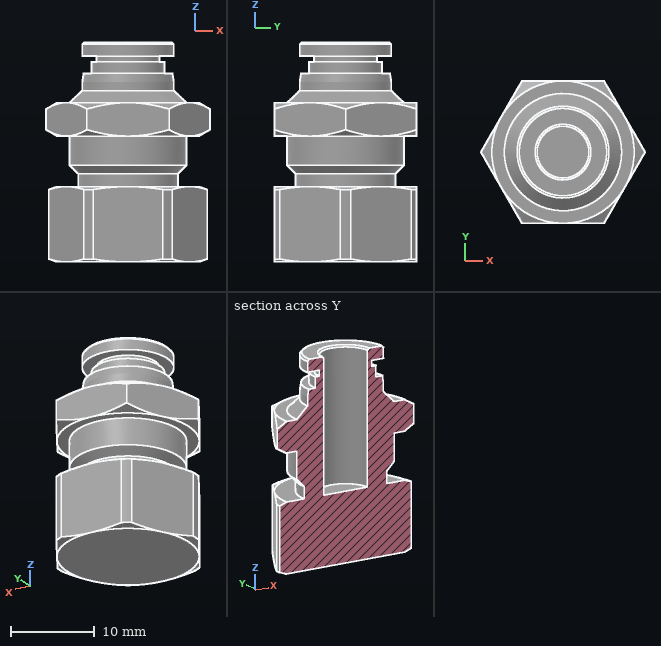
import cadquery as cq
import math


base_top_z = 9.0
neck_top_z = 10.53
nut_bottom_z = 15.05
nut_top_z = 19.03
shoulder_bottom_z = 20.48
taper_bottom_z = 21.52
taper_top_z = 22.52
sleeve_top_z = 23.91
cap_bottom_z = 24.6
total_height = 26.25

hex_sides = 6
across_flats = 17.0
base_corner_radius = 9.48
base_chamfer_angle = 20.0
nut_chamfer_angle = 30.0

neck_radius = 5.98
body_radius = 7.0
collar_radius = 5.49
collar_top_radius = 5.33
sleeve_radius = 4.38
stem_radius = 3.78
cap_radius = collar_radius
cap_chamfer = 0.25
bore_radius = 3.1
bore_chamfer = 0.24

inscribed_radius = across_flats / 2
hex_corner_radius = inscribed_radius / math.cos(math.pi / hex_sides)


def revolve_profile(points):
    """Revolve a closed (radius, height) outline about the Z axis."""
    return cq.Workplane("XZ").polyline(points).close().revolve(360, (0, 0, 0), (0, 1, 0))


def chamfered_hexagon(bottom_z, top_z, corner_radius, chamfer_angle):
    """Hexagonal prism with its corners turned to a radius and coned at both ends."""
    drop = (corner_radius - inscribed_radius) * math.tan(math.radians(chamfer_angle))
    prism = (
        cq.Workplane("XY", origin=(0, 0, bottom_z))
        .polygon(hex_sides, 2 * hex_corner_radius)
        .extrude(top_z - bottom_z)
    )
    turned_envelope = revolve_profile([
        (0, bottom_z),
        (inscribed_radius, bottom_z),
        (corner_radius, bottom_z + drop),
        (corner_radius, top_z - drop),
        (inscribed_radius, top_z),
        (0, top_z),
    ])
    return prism.intersect(turned_envelope)


def turned_body():
    """Round body from the base up to the release cap."""
    neck_cone_height = body_radius - neck_radius
    return revolve_profile([
        (0, 0),
        (neck_radius, 0),
        (neck_radius, neck_top_z),
        (body_radius, neck_top_z + neck_cone_height),
        (body_radius, nut_top_z),
        (collar_radius, shoulder_bottom_z),
        (collar_radius, taper_bottom_z),
        (collar_top_radius, taper_top_z),
        (sleeve_radius, taper_top_z),
        (sleeve_radius, sleeve_top_z),
        (stem_radius, sleeve_top_z),
        (stem_radius, cap_bottom_z),
        (cap_radius, cap_bottom_z),
        (cap_radius, total_height - cap_chamfer),
        (cap_radius - cap_chamfer, total_height),
        (0, total_height),
    ])


def tube_bore():
    """Blind tube bore with a chamfered mouth, ending level with the top of the base."""
    return revolve_profile([
        (0, base_top_z),
        (bore_radius, base_top_z),
        (bore_radius, total_height - bore_chamfer),
        (bore_radius + bore_chamfer, total_height),
        (0, total_height),
    ])


base = chamfered_hexagon(0, base_top_z, base_corner_radius, base_chamfer_angle)
lock_nut = chamfered_hexagon(nut_bottom_z, nut_top_z, hex_corner_radius, nut_chamfer_angle)

result = turned_body().union(base).union(lock_nut).cut(tube_bore())